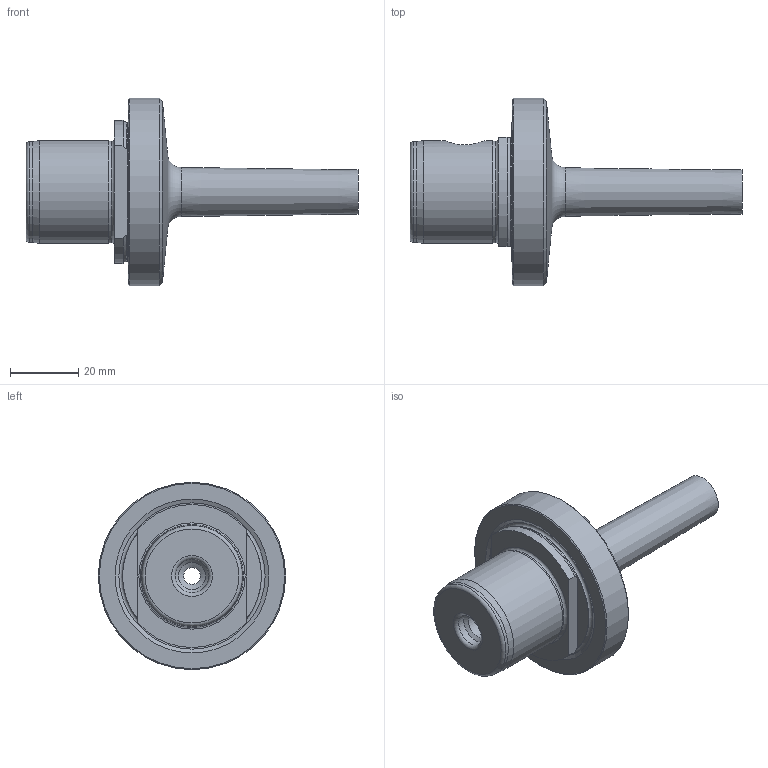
import math

import cadquery as cq

TOTAL_LENGTH = 97.5

SHANK_RADIUS = 15.1
RELIEF_RADIUS = 14.8
SHANK_END_ROUND = 1.0
LEAD_IN_END = 2.0
FIT_START = 4.0
FIT_END = 24.3
NECK_START = 25.1

COLLAR_START = 25.9
COLLAR_RADIUS = 21.0
COLLAR_CHAMFER_START = 28.5
COLLAR_CHAMFER_DEPTH = 0.6
COLLAR_CHAMFER_LENGTH = 0.9
FLAT_DISTANCE = 16.0
FLAT_END = 29.7

FLANGE_START = 30.0
FLANGE_RADIUS = 27.5
FLANGE_FRONT_CHAMFER = 0.3
FLANGE_BACK_EDGE = 39.2
FLANGE_BACK_BEVEL = 0.9
BACK_CONE_ANGLE = math.radians(5.6)

GROOVE_OUTER_RADIUS = 22.6
GROOVE_ROUND = 0.75
GROOVE_WALL_ANGLE = math.radians(25)

STEM_START = 45.6
STEM_START_RADIUS = 7.2
STEM_END_RADIUS = 6.5
STEM_FILLET = 4.0

MOUTH_ROUND = 1.1
MOUTH_RADIUS = 4.9
MOUTH_END = 3.2
PILOT_RADIUS = 4.0
PILOT_END = 20.0
DRILL_TIP_ANGLE = math.radians(59)
COOLANT_RADIUS = 2.5

SIDE_HOLE_X = 16.0
SIDE_HOLE_RADIUS = 6.0
SIDE_HOLE_FLOOR = 10.0

MID_ARC = math.sqrt(0.5)


def body():
    """Turned outer shape: half outline in X and radius, revolved about X."""
    neck_fillet = COLLAR_START - NECK_START
    end_inset = SHANK_END_ROUND * (1 - MID_ARC)
    neck_inset = neck_fillet * (1 - MID_ARC)

    collar_neck_radius = COLLAR_RADIUS - COLLAR_CHAMFER_DEPTH
    groove_center_r = collar_neck_radius + GROOVE_ROUND
    groove_bottom_r = groove_center_r + GROOVE_ROUND * math.sin(GROOVE_WALL_ANGLE)
    wall_depth = (GROOVE_OUTER_RADIUS - groove_bottom_r) * math.tan(GROOVE_WALL_ANGLE)
    groove_bottom_x = FLANGE_START + wall_depth
    groove_center_x = groove_bottom_x - GROOVE_ROUND * math.cos(GROOVE_WALL_ANGLE)
    groove_mid_angle = (math.pi / 2 - GROOVE_WALL_ANGLE) / 2
    groove_mid = (
        groove_center_x + GROOVE_ROUND * math.cos(groove_mid_angle),
        groove_center_r - GROOVE_ROUND * math.sin(groove_mid_angle),
    )

    fillet_center_r = STEM_START_RADIUS + STEM_FILLET
    cone_foot = (
        STEM_START - STEM_FILLET * math.cos(BACK_CONE_ANGLE),
        fillet_center_r - STEM_FILLET * math.sin(BACK_CONE_ANGLE),
    )
    fillet_mid_angle = (BACK_CONE_ANGLE + math.pi / 2) / 2
    fillet_mid = (
        STEM_START - STEM_FILLET * math.cos(fillet_mid_angle),
        fillet_center_r - STEM_FILLET * math.sin(fillet_mid_angle),
    )
    cone_rim_radius = FLANGE_RADIUS - FLANGE_BACK_BEVEL
    cone_rim = (
        cone_foot[0] - (cone_rim_radius - cone_foot[1]) * math.tan(BACK_CONE_ANGLE),
        cone_rim_radius,
    )

    outline = (
        cq.Workplane("XZ")
        .lineTo(0, RELIEF_RADIUS - SHANK_END_ROUND)
        .threePointArc((end_inset, RELIEF_RADIUS - end_inset), (SHANK_END_ROUND, RELIEF_RADIUS))
        .lineTo(LEAD_IN_END, RELIEF_RADIUS)
        .lineTo(FIT_START, SHANK_RADIUS)
        .lineTo(FIT_END, SHANK_RADIUS)
        .lineTo(NECK_START, RELIEF_RADIUS)
        .threePointArc(
            (COLLAR_START - neck_inset, RELIEF_RADIUS + neck_inset),
            (COLLAR_START, RELIEF_RADIUS + neck_fillet),
        )
        .lineTo(COLLAR_START, COLLAR_RADIUS)
        .lineTo(COLLAR_CHAMFER_START, COLLAR_RADIUS)
        .lineTo(COLLAR_CHAMFER_START + COLLAR_CHAMFER_LENGTH, collar_neck_radius)
        .lineTo(groove_center_x, collar_neck_radius)
        .threePointArc(groove_mid, (groove_bottom_x, groove_bottom_r))
        .lineTo(FLANGE_START, GROOVE_OUTER_RADIUS)
        .lineTo(FLANGE_START, FLANGE_RADIUS - FLANGE_FRONT_CHAMFER)
        .lineTo(FLANGE_START + FLANGE_FRONT_CHAMFER, FLANGE_RADIUS)
        .lineTo(FLANGE_BACK_EDGE, FLANGE_RADIUS)
        .lineTo(*cone_rim)
        .lineTo(*cone_foot)
        .threePointArc(fillet_mid, (STEM_START, STEM_START_RADIUS))
        .lineTo(TOTAL_LENGTH, STEM_END_RADIUS)
        .lineTo(TOTAL_LENGTH, 0)
        .close()
    )
    return outline.revolve(360, (0, 0, 0), (1, 0, 0))


def bore():
    """Rounded mouth, stepped pilot and coolant hole right through the part."""
    round_inset = MOUTH_ROUND * (1 - MID_ARC)
    step_end = MOUTH_END + MOUTH_RADIUS - PILOT_RADIUS
    tip_end = PILOT_END + (PILOT_RADIUS - COOLANT_RADIUS) / math.tan(DRILL_TIP_ANGLE)
    outline = (
        cq.Workplane("XZ")
        .lineTo(0, MOUTH_RADIUS + MOUTH_ROUND)
        .threePointArc((round_inset, MOUTH_RADIUS + round_inset), (MOUTH_ROUND, MOUTH_RADIUS))
        .lineTo(MOUTH_END, MOUTH_RADIUS)
        .lineTo(step_end, PILOT_RADIUS)
        .lineTo(PILOT_END, PILOT_RADIUS)
        .lineTo(tip_end, COOLANT_RADIUS)
        .lineTo(TOTAL_LENGTH, COOLANT_RADIUS)
        .lineTo(TOTAL_LENGTH, 0)
        .close()
    )
    return outline.revolve(360, (0, 0, 0), (1, 0, 0))


def collar_flat(side):
    """Block that mills one flat; side is +1 or -1 along Y."""
    width = FLANGE_RADIUS
    block = cq.Workplane("XY").box(
        FLAT_END - COLLAR_START, width, 2 * FLANGE_RADIUS, centered=(False, True, True)
    )
    return block.translate((COLLAR_START, side * (FLAT_DISTANCE + width / 2), 0))


def side_hole():
    """Flat-bottomed radial hole entering the shank from +Y."""
    hole = cq.Workplane("XZ").circle(SIDE_HOLE_RADIUS).extrude(-SHANK_RADIUS)
    return hole.translate((SIDE_HOLE_X, SIDE_HOLE_FLOOR, 0))


result = body().cut(bore()).cut(side_hole())
for flat_side in (1, -1):
    result = result.cut(collar_flat(flat_side))